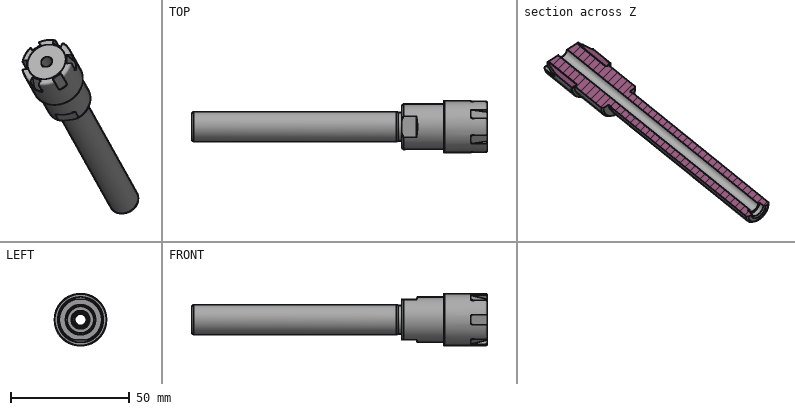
import cadquery as cq
import math

total_length = 125.0
collar_start = 88.8
nut_length = 18.4
nut_start = total_length - nut_length

shank_diameter = 12.8
shank_end_diameter = 11.2
shank_chamfer_length = 0.9
groove_diameter = 12.1
groove_length = 2.2
groove_taper_length = 0.9
collar_diameter = 19.2
collar_end_diameter = 17.9
collar_chamfer_length = 0.9
nose_diameter = 16.6

bore_diameter = 4.9
counterbore_diameter = 6.5
counterbore_depth = 3.1
countersink_diameter = 7.8
countersink_depth = 0.8

flat_spacing = 17.1
flat_length = 6.2
ramp_length = 0.5

nut_diameter = 22.0
nut_back_chamfer_length = 0.4
nut_back_chamfer_height = 0.1
nut_front_round = 1.0
slot_count = 6
slot_width = 4.1
slot_length = 7.1
slot_corner_radius = 0.9
slot_start_radius = 10.8
slot_end_radius = 8.8


def revolve_about_x(profile):
    """Revolve an outline of (x, radius) points about the X axis."""
    return cq.Workplane("XY").polyline(profile).close().revolve(360, (0, 0, 0), (1, 0, 0))


def make_blank():
    groove_start = collar_start - groove_length
    return revolve_about_x([
        (0, 0),
        (0, shank_end_diameter / 2),
        (shank_chamfer_length, shank_diameter / 2),
        (groove_start, shank_diameter / 2),
        (groove_start + groove_taper_length, groove_diameter / 2),
        (collar_start, groove_diameter / 2),
        (collar_start, collar_end_diameter / 2),
        (collar_start + collar_chamfer_length, collar_diameter / 2),
        (nut_start, collar_diameter / 2),
        (nut_start, nose_diameter / 2),
        (total_length, nose_diameter / 2),
        (total_length, 0),
    ])


def make_bore():
    return revolve_about_x([
        (0, 0),
        (0, countersink_diameter / 2),
        (countersink_depth, counterbore_diameter / 2),
        (counterbore_depth, counterbore_diameter / 2),
        (counterbore_depth, bore_diameter / 2),
        (total_length, bore_diameter / 2),
        (total_length, 0),
    ])


def make_flat_cutter():
    """Material removed above the upper wrench flat."""
    flat_end = collar_start + flat_length
    return (
        cq.Workplane("XZ")
        .polyline([
            (collar_start, flat_spacing / 2),
            (flat_end, flat_spacing / 2),
            (flat_end + ramp_length, collar_diameter / 2),
            (collar_start, collar_diameter / 2),
        ])
        .close()
        .extrude(collar_diameter / 2, both=True)
    )


def make_holder():
    holder = make_blank().cut(make_bore())
    upper_flat = make_flat_cutter()
    lower_flat = upper_flat.rotate((0, 0, 0), (1, 0, 0), 180)
    return holder.cut(upper_flat).cut(lower_flat)


def make_slot_cutter():
    """Slot on the +Y side, its floor sloping inward toward the open end."""
    slot_start = total_length - slot_length
    outside = nut_diameter / 2
    wedge = (
        cq.Workplane("XY")
        .polyline([
            (slot_start, slot_start_radius),
            (total_length, slot_end_radius),
            (total_length, outside),
            (slot_start, outside),
        ])
        .close()
        .extrude(slot_width / 2, both=True)
    )
    return wedge.edges("<X and |Y").fillet(slot_corner_radius)


def make_nut():
    back_radius = nut_diameter / 2 - nut_back_chamfer_height
    round_center_radius = nut_diameter / 2 - nut_front_round
    arc_offset = nut_front_round * math.sqrt(0.5)
    round_start = total_length - nut_front_round
    nut = (
        cq.Workplane("XY")
        .moveTo(nut_start, nose_diameter / 2)
        .lineTo(nut_start, back_radius)
        .lineTo(nut_start + nut_back_chamfer_length, nut_diameter / 2)
        .lineTo(round_start, nut_diameter / 2)
        .threePointArc(
            (round_start + arc_offset, round_center_radius + arc_offset),
            (total_length, round_center_radius),
        )
        .lineTo(total_length, nose_diameter / 2)
        .close()
        .revolve(360, (0, 0, 0), (1, 0, 0))
    )
    slot = make_slot_cutter()
    for index in range(slot_count):
        nut = nut.cut(slot.rotate((0, 0, 0), (1, 0, 0), index * 360 / slot_count))
    return nut


holder = make_holder()
nut = make_nut()
result = cq.Compound.makeCompound([holder.val(), nut.val()])